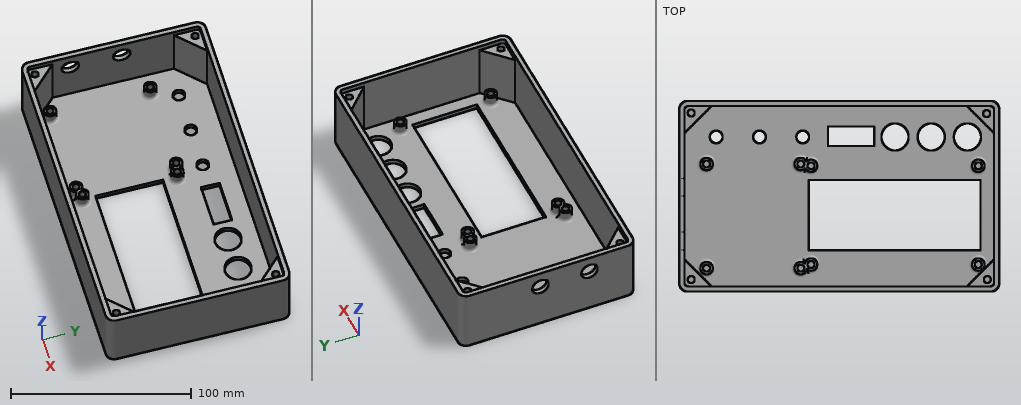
import cadquery as cq

length = 178.0
width = 106.0
height = 40.0
wall = 3.0
floor = 3.0
corner_radius = 5.0
bottom_edge_radius = 1.0

inner_length = length - 2 * wall
inner_width = width - 2 * wall
inner_radius = corner_radius - wall

block_leg = 15.0
lid_recess = 3.0
block_top = height - lid_recess
lid_screw_diameter = 4.0
lid_screw_inset = 6.8
back_right_screw_inset = 7.1

row_y = 33.0
small_hole_diameter = 7.0
small_hole_first_x = -68.4
small_hole_pitch = 24.0
large_hole_diameter = 15.0
large_hole_first_x = 31.0
large_hole_pitch = 20.1
holes_per_group = 3
switch_x = 6.5
switch_y = 33.3
switch_length = 25.5
switch_width = 10.7

display_x = 30.8
display_y = -10.5
window_length = 95.2
window_width = 39.0
display_boss_spacing = (93.0, 54.8)

board_x = -47.5
board_y = -11.0
board_boss_spacing = (52.3, 57.8)

boss_diameter = 7.0
boss_bore_diameter = 4.0
boss_height = 6.5
boss_fillet = 2.0

cable_hole_diameter = 10.0
cable_hole_z = 29.5
cable_hole_ys = (5.0, -24.7)


def make_shell():
    outer = (
        cq.Workplane("XY")
        .box(length, width, height, centered=(True, True, False))
        .edges("|Z")
        .fillet(corner_radius)
        .faces("<Z")
        .edges()
        .fillet(bottom_edge_radius)
    )
    return outer.cut(make_cavity())


def make_cavity():
    return (
        cq.Workplane("XY")
        .workplane(offset=floor)
        .rect(inner_length, inner_width)
        .extrude(height - floor)
        .edges("|Z")
        .fillet(inner_radius)
    )


def make_corner_blocks():
    blocks = cq.Workplane("XY")
    for side_x in (-1, 1):
        for side_y in (-1, 1):
            x = side_x * inner_length / 2
            y = side_y * inner_width / 2
            block = (
                cq.Workplane("XY")
                .workplane(offset=floor)
                .moveTo(x, y)
                .lineTo(x - side_x * block_leg, y)
                .lineTo(x, y - side_y * block_leg)
                .close()
                .extrude(block_top - floor)
            )
            blocks = blocks.add(block)
    return blocks.combine()


def make_boss():
    """Boss standing on z = 0 with a concave fillet around its foot."""
    radius = boss_diameter / 2
    foot_radius = radius + boss_fillet
    return (
        cq.Workplane("XZ")
        .lineTo(foot_radius, 0)
        .radiusArc((radius, boss_fillet), boss_fillet)
        .lineTo(radius, boss_height)
        .lineTo(0, boss_height)
        .close()
        .revolve(360, (0, 0, 0), (0, 1, 0))
    )


def rectangle_points(centre_x, centre_y, spacing):
    half_x = spacing[0] / 2
    half_y = spacing[1] / 2
    return [
        (centre_x + side_x * half_x, centre_y + side_y * half_y)
        for side_x in (-1, 1)
        for side_y in (-1, 1)
    ]


def lid_screw_points():
    """Screw positions; the one at the back right (+X, +Y) sits slightly further in."""
    points = []
    for side_x in (-1, 1):
        for side_y in (-1, 1):
            is_back_right = side_x == 1 and side_y == 1
            inset = back_right_screw_inset if is_back_right else lid_screw_inset
            points.append((side_x * (length / 2 - inset), side_y * (width / 2 - inset)))
    return points


def vertical_cylinders(points, diameter, bottom, top):
    return (
        cq.Workplane("XY")
        .workplane(offset=bottom)
        .pushPoints(points)
        .circle(diameter / 2)
        .extrude(top - bottom)
    )


def row_points(first_x, pitch):
    return [(first_x + i * pitch, row_y) for i in range(holes_per_group)]


def floor_window(x, y, size_x, size_y):
    return cq.Workplane("XY").center(x, y).rect(size_x, size_y).extrude(floor)


def make_cable_holes():
    return (
        cq.Workplane("YZ")
        .workplane(offset=-length / 2)
        .pushPoints([(y, cable_hole_z) for y in cable_hole_ys])
        .circle(cable_hole_diameter / 2)
        .extrude(wall)
    )


result = make_shell().union(make_corner_blocks())
all_boss_points = rectangle_points(board_x, board_y, board_boss_spacing)
all_boss_points += rectangle_points(display_x, display_y, display_boss_spacing)
for boss_x, boss_y in all_boss_points:
    result = result.union(make_boss().translate((boss_x, boss_y, floor)))

result = result.cut(vertical_cylinders(lid_screw_points(), lid_screw_diameter, floor, block_top))
result = result.cut(vertical_cylinders(all_boss_points, boss_bore_diameter, floor, floor + boss_height))

small_holes = row_points(small_hole_first_x, small_hole_pitch)
large_holes = row_points(large_hole_first_x, large_hole_pitch)
result = result.cut(vertical_cylinders(small_holes, small_hole_diameter, 0, floor))
result = result.cut(vertical_cylinders(large_holes, large_hole_diameter, 0, floor))
result = result.cut(floor_window(switch_x, switch_y, switch_length, switch_width))
result = result.cut(floor_window(display_x, display_y, window_length, window_width))

result = result.cut(make_cable_holes())